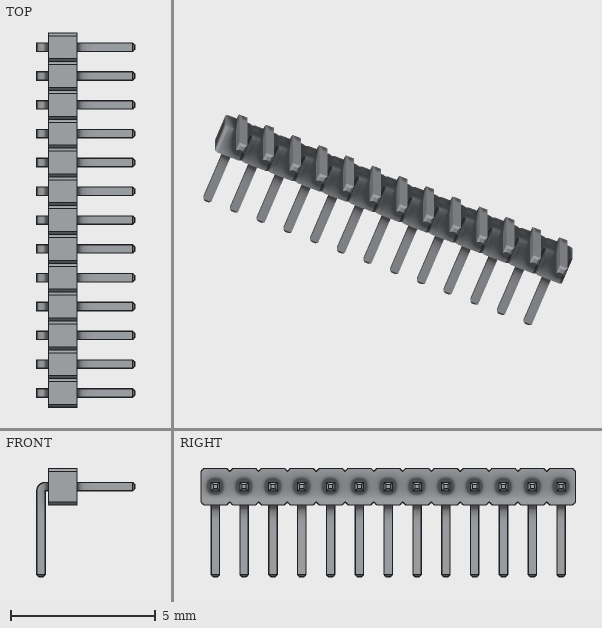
import cadquery as cq

pin_count = 13
row_length = 13.0
pitch = row_length / pin_count

body_depth = pitch
body_height = 1.27
body_chamfer = 0.1

pin_width = 0.3
pin_tip_chamfer = 0.08
overall_depth = 3.4
overall_height = 3.77
straight_leg_length = 2 * pitch

pin_front = body_depth / 2 + straight_leg_length
pin_back = pin_front - overall_depth
pin_top = pin_width / 2
pin_bottom = body_height / 2 - overall_height


def make_cell():
    """One plastic cell; its chamfers form V-notches against its neighbours."""
    return cq.Workplane("XY").box(body_depth, pitch, body_height).edges("|X").chamfer(body_chamfer)


def make_pin():
    """One L-shaped pin with a rounded outer bend, a sharp inner bend and tapered tips."""
    pin = (
        cq.Workplane("XZ")
        .moveTo(pin_back, pin_bottom)
        .lineTo(pin_back, pin_top - pin_width)
        .radiusArc((pin_back + pin_width, pin_top), pin_width)
        .lineTo(pin_front, pin_top)
        .lineTo(pin_front, pin_top - pin_width)
        .lineTo(pin_back + pin_width, pin_top - pin_width)
        .lineTo(pin_back + pin_width, pin_bottom)
        .close()
        .extrude(pin_width / 2, both=True)
    )
    return pin.faces(">X").chamfer(pin_tip_chamfer).faces("<Z").chamfer(pin_tip_chamfer)


cell = make_cell()
pin = make_pin()
result = cq.Workplane("XY")
for index in range(pin_count):
    cell_centre = (index - (pin_count - 1) / 2) * pitch
    offset = (0, cell_centre, 0)
    result = result.union(cell.translate(offset)).union(pin.translate(offset))
result = result.clean()